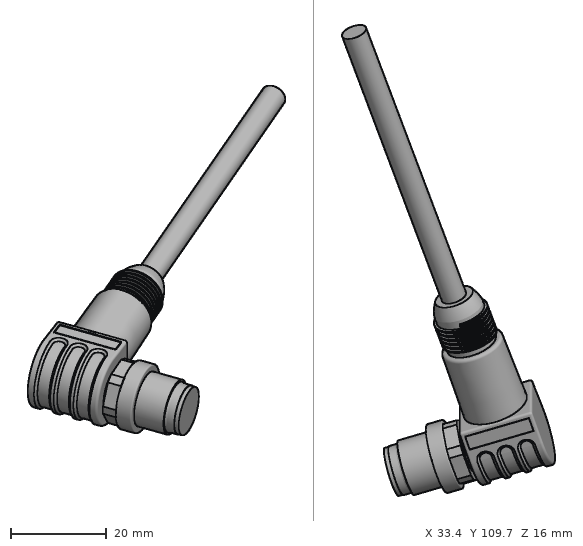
import cadquery as cq
import math


housing_radius = 8.0
housing_half_width = 8.0
housing_back_y = 8.0
flat_taper = math.radians(5)
housing_edge_radius = 0.5

seam_y = housing_radius * math.sin(flat_taper)
seam_z = housing_radius * math.cos(flat_taper)
back_half_height = seam_z - (housing_back_y - seam_y) * math.tan(flat_taper)

groove_count = 3
groove_pitch = 4.5
groove_floor_width = 2.6
groove_mouth_width = 3.7
groove_depth = 0.5

label_length = 14.0
label_width = 3.1
label_center_y = 5.4
label_depth = 0.2

cable_end_y = 101.7
cable_diameter = 5.4
sleeve_end_y = 23.7
sleeve_base_diameter = 13.9
sleeve_tip_diameter = 13.4
sleeve_edge_radius = 0.7
boot_diameter = 10.7
boot_nose_start_y = 32.5
boot_end_y = 35.4
boot_tip_diameter = 8.3
boot_nose_bulge = 0.16

overlap = 1.1

rib_diameter = 12.0
rib_pitch = 1.01
rib_start_y = 24.6
rib_turns = 6.75
rib_root_width = 0.5
rib_crest_width = 0.3
rib_embed = 0.3

neck_diameter = 9.3
nut_start_x = 8.9
nut_across_flats = 12.9
nut_across_corner_cuts = 13.8
collar_start_x = 12.0
collar_diameter = 15.0
collar_edge_radius = 0.3
barrel_start_x = 15.6
barrel_diameter = 12.0
barrel_end_x = 22.3
shoulder_diameter = 11.1
shoulder_end_x = 22.8
tip_diameter = 10.7
tip_step_x = 24.5
tip_end_diameter = 10.5
plug_end_x = 25.4


def mirrored_pair(solid):
    """The solid together with its mirror image below the XY plane."""
    return solid.union(solid.mirror("XY"))


def flat_plane(y, depth):
    """Plane parallel to the upper tapered flat, sunk by depth, with its origin at the given y."""
    z = seam_z - (y - seam_y) * math.tan(flat_taper)
    normal = cq.Vector(0, math.sin(flat_taper), math.cos(flat_taper))
    return cq.Plane(origin=cq.Vector(0, y, z) - normal * depth, xDir=(1, 0, 0), normal=normal)


def make_housing_block():
    block = (
        cq.Workplane("YZ", origin=(-housing_half_width, 0, 0))
        .moveTo(housing_back_y, back_half_height)
        .lineTo(seam_y, seam_z)
        .threePointArc((-housing_radius, 0), (seam_y, -seam_z))
        .lineTo(housing_back_y, -back_half_height)
        .close()
        .extrude(2 * housing_half_width)
    )
    return block.edges("|Z or <X or >X or >Y").fillet(housing_edge_radius)


def make_groove(center_x):
    """Groove with sloping walls along the round end, closed by a rounded pocket on each flat."""
    wall_run = (groove_mouth_width - groove_floor_width) / 2
    wall_angle = math.degrees(math.atan2(wall_run, groove_depth))
    floor_radius = housing_radius - groove_depth
    rim_radius = housing_radius + groove_depth
    rim_half_width = groove_mouth_width / 2 + wall_run
    floor_half_width = groove_floor_width / 2
    ring = (
        cq.Workplane(cq.Plane(origin=(center_x, 0, 0), xDir=(1, 0, 0), normal=(0, 0, 1)))
        .polyline([
            (-floor_half_width, -floor_radius),
            (floor_half_width, -floor_radius),
            (rim_half_width, -rim_radius),
            (-rim_half_width, -rim_radius),
        ])
        .close()
        .revolve(180 + 2 * math.degrees(flat_taper), (0, 0, 0), (1, 0, 0))
        .rotate((0, 0, 0), (1, 0, 0), -90 - math.degrees(flat_taper))
    )
    pocket = (
        cq.Workplane(flat_plane(seam_y, groove_depth))
        .center(center_x, 0)
        .circle(floor_half_width)
        .extrude(2 * groove_depth, taper=-wall_angle)
    )
    return ring.union(mirrored_pair(pocket))


def make_label_recesses():
    recess = (
        cq.Workplane(flat_plane(label_center_y, label_depth))
        .rect(label_length, label_width)
        .extrude(2 * label_depth)
    )
    return mirrored_pair(recess)


def make_housing():
    housing = make_housing_block().cut(make_label_recesses())
    for index in range(groove_count):
        housing = housing.cut(make_groove((index - (groove_count - 1) / 2) * groove_pitch))
    return housing


def cylinder_along_x(start_x, end_x, diameter):
    return cq.Workplane("YZ", origin=(start_x, 0, 0)).circle(diameter / 2).extrude(end_x - start_x)


def make_hexagon(across_flats, turn):
    """Nut blank, turned about X by an angle in degrees; unturned, it has flats facing +Y and -Y."""
    return (
        cq.Workplane("YZ", origin=(nut_start_x, 0, 0))
        .transformed(rotate=(0, 0, turn))
        .polygon(6, across_flats, circumscribed=True)
        .extrude(collar_start_x - nut_start_x)
    )


def make_plug():
    neck = cylinder_along_x(housing_half_width - overlap, collar_start_x, neck_diameter)
    nut = make_hexagon(nut_across_flats, 30).intersect(make_hexagon(nut_across_corner_cuts, 0))
    collar = cylinder_along_x(collar_start_x, barrel_start_x, collar_diameter)
    collar = collar.edges().fillet(collar_edge_radius)
    barrel = (
        cq.Workplane("XY")
        .polyline([
            (collar_start_x, 0),
            (collar_start_x, barrel_diameter / 2),
            (barrel_end_x, barrel_diameter / 2),
            (barrel_end_x, shoulder_diameter / 2),
            (shoulder_end_x, tip_diameter / 2),
            (tip_step_x, tip_diameter / 2),
            (tip_step_x, tip_end_diameter / 2),
            (plug_end_x, tip_end_diameter / 2),
            (plug_end_x, 0),
        ])
        .close()
        .revolve(360, (0, 0, 0), (1, 0, 0))
    )
    return neck.union(nut).union(collar).union(barrel)


def make_sleeve():
    """Conical sleeve that widens slightly towards the housing."""
    start_y = housing_back_y - overlap
    return (
        cq.Workplane("XY")
        .moveTo(0, start_y)
        .lineTo(sleeve_base_diameter / 2, start_y)
        .lineTo(sleeve_tip_diameter / 2, sleeve_end_y)
        .lineTo(0, sleeve_end_y)
        .close()
        .revolve(360, (0, 0, 0), (0, 1, 0))
        .edges(">Y")
        .fillet(sleeve_edge_radius)
    )


def make_boot():
    boot_radius = boot_diameter / 2
    tip_radius = boot_tip_diameter / 2
    nose_middle = (
        (boot_radius + tip_radius) / 2 + boot_nose_bulge,
        (boot_nose_start_y + boot_end_y) / 2,
    )
    return (
        cq.Workplane("XY")
        .moveTo(0, sleeve_end_y - overlap)
        .lineTo(boot_radius, sleeve_end_y - overlap)
        .lineTo(boot_radius, boot_nose_start_y)
        .threePointArc(nose_middle, (tip_radius, boot_end_y))
        .lineTo(0, boot_end_y)
        .close()
        .revolve(360, (0, 0, 0), (0, 1, 0))
    )


def make_rib():
    """Left-handed helical rib, its foot sunk into the boot."""
    root_radius = boot_diameter / 2 - rib_embed
    helix = cq.Wire.makeHelix(rib_pitch, rib_turns * rib_pitch, root_radius, lefthand=True)
    rib = (
        cq.Workplane("XZ")
        .polyline([
            (root_radius, -rib_root_width / 2),
            (rib_diameter / 2, -rib_crest_width / 2),
            (rib_diameter / 2, rib_crest_width / 2),
            (root_radius, rib_root_width / 2),
        ])
        .close()
        .sweep(cq.Workplane(obj=helix), isFrenet=True)
    )
    return rib.rotate((0, 0, 0), (1, 0, 0), -90).translate((0, rib_start_y, 0))


def make_cable():
    cable = cq.Workplane("XZ", origin=(0, boot_end_y - overlap, 0)).circle(cable_diameter / 2)
    return cable.extrude(boot_end_y - overlap - cable_end_y)


result = (
    make_housing()
    .union(make_plug())
    .union(make_sleeve())
    .union(make_boot())
    .union(make_rib())
    .union(make_cable())
)